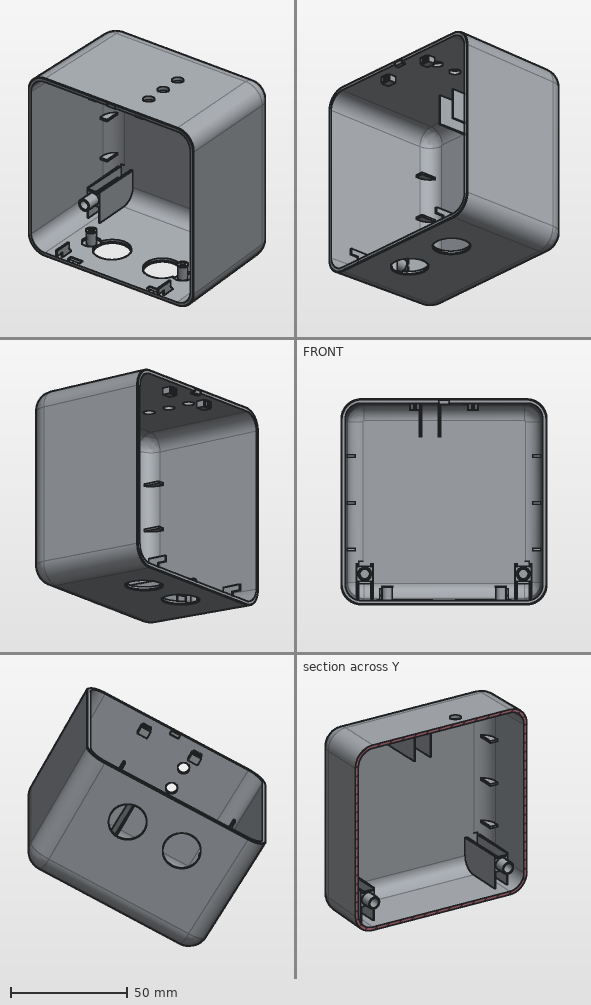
import cadquery as cq
rim_size = 88.5
depth = 58.85
wall = 1.8
draft_angle = 1.0
corner_radius = 8.85
back_radius = 8.4
rim_chamfer = 0.35

inner_half = rim_size / 2 - wall
inner_back = depth - wall

vent_x = 10.8
vent_ys = (12.9, 23.4, 33.8)
vent_diameter = 5.05

cable_x = 13.4
cable_y = 19.0
cable_diameter = 16.7
cable_lip_diameter = 16.3
pin_x = 24.4
pin_diameter = 4.4
pin_top_z = -36.3
pin_cap_diameter = 4.8
pin_cap_height = 0.4
pin_bore = 2.3
pin_bore_depth = 0.9
recess_diameter = 8.5
recess_depth = 0.7

pocket_x = 21.1
pocket_y = 2.8
pocket_length = 6.3
pocket_width = 2.3
pocket_depth = 0.4

hook_x = 27.2
hook_thickness = 0.8
hook_reach = 2.5
hook_top_z = -37.4
hook_arm_height = 2.65
hook_front_y = 1.5
hook_back_y = 6.2
hook_foot_y = 7.9
hook_foot_height = 2.2

plate_front_thickness = 0.5
plate_back_thickness = 1.15

post_x = 34.1
post_z = -31.0
plate_offset = 3.1
plate_top_z = -26.6
plate_front_y = 33.6
tube_front_y = 26.8
tube_diameter = 5.7
tube_bore = 4.25
web_thickness = 1.1
web_height = 6.4
trough_diameter = 6.4
trough_bore = 5.1
coring_half_width = 2.65
coring_z = (-35.3, -25.6)

fin_zs = (19.7, -0.5, -20.5)
fin_tip_x = 38.05
fin_front_y = 48.7
fin_thickness = 1.0

rib_xs = (-10.1, -1.95)
rib_bottom_z = 28.05

catch_x = 12.5
catch_width = 4.7
catch_bottom_z = 39.4
catch_front_y = 4.4
catch_length = 3.5
catch_pad_offset = 1.3
catch_pad_width = 1.15
catch_rib_width = 0.7
catch_pad_length = 0.9
catch_pad_height = 2.65

notch_width = 4.3
notch_top_z = 43.7
notch_depth = 0.4
tab_bottom_z = 41.9
tab_length = 1.8


def box(x_range, y_range, z_range):
    """Box spanning the given coordinate ranges."""
    size = [high - low for low, high in (x_range, y_range, z_range)]
    corner = (x_range[0], y_range[0], z_range[0])
    return cq.Workplane("XY").box(*size, centered=False).translate(corner)


def centred(middle, width):
    """Range of the given width about a middle value."""
    return (middle - width / 2, middle + width / 2)


def cylinder_y(x, z, diameter, y_range):
    """Cylinder along Y."""
    plane = cq.Workplane("XZ", origin=(x, y_range[0], z))
    return plane.circle(diameter / 2).extrude(y_range[0] - y_range[1])


def cylinder_z(x, y, diameter, z_range):
    """Cylinder along Z."""
    plane = cq.Workplane("XY", origin=(x, y, z_range[0]))
    return plane.circle(diameter / 2).extrude(z_range[1] - z_range[0])


def drafted_block(size, length, edge_radius, end_radius):
    """Square block narrowing toward +Y, with rounded long edges and a rounded back."""
    plane = cq.Workplane(cq.Plane((0, 0, 0), (1, 0, 0), (0, 1, 0)))
    block = plane.rect(size, size).extrude(length, taper=draft_angle)
    block = block.edges("not(#Y)").fillet(edge_radius)
    return block.faces(">Y").edges().fillet(end_radius)


outer = drafted_block(rim_size, depth, corner_radius, back_radius)
outer = outer.faces("<Y").chamfer(rim_chamfer)
cavity = drafted_block(2 * inner_half, inner_back, corner_radius - wall, back_radius - wall)


def drafted_plate(x, z_range):
    """Plate square to X, reaching from its thinner front edge to the back wall."""
    back_y = inner_back + wall / 2
    front_half = plate_front_thickness / 2
    back_half = plate_back_thickness / 2
    outline = [
        (x - front_half, plate_front_y),
        (x + front_half, plate_front_y),
        (x + back_half, back_y),
        (x - back_half, back_y),
    ]
    plane = cq.Workplane("XY", origin=(0, 0, z_range[0]))
    return plane.polyline(outline).close().extrude(z_range[1] - z_range[0])


def screw_post(side):
    """Two plates standing on the floor, with a web, a tube and a trough between them."""
    x = side * post_x
    web_x = centred(x, 2 * plate_offset)
    web_back_y = plate_front_y + web_thickness
    trough_y = (web_back_y, inner_back)
    trough = cylinder_y(x, post_z, trough_diameter, trough_y)
    trough = trough.cut(cylinder_y(x, post_z, trough_bore, trough_y))
    trough = trough.cut(box(web_x, trough_y, (post_z, post_z + trough_diameter)))

    post = box(web_x, (plate_front_y, web_back_y), centred(post_z, web_height))
    post = post.union(cylinder_y(x, post_z, tube_diameter, (tube_front_y, web_back_y)))
    post = post.cut(cylinder_y(x, post_z, tube_bore, (tube_front_y, web_back_y)))
    post = post.union(trough)
    for offset in (-plate_offset, plate_offset):
        post = post.union(drafted_plate(x + offset, (-inner_half, plate_top_z)))
    return post


def hook(side):
    """Flat hook standing on the floor, its arm passing out of the opening."""
    arm_bottom_z = hook_top_z - hook_arm_height
    floor_z = -inner_half
    profile = [
        (-hook_reach, hook_top_z),
        (hook_back_y, hook_top_z),
        (hook_back_y, floor_z + hook_foot_height),
        (hook_foot_y, floor_z),
        (hook_front_y, floor_z),
        (hook_front_y, arm_bottom_z),
        (-hook_reach, arm_bottom_z),
    ]
    plane = cq.Workplane("YZ", origin=(side * hook_x, 0, 0))
    return plane.polyline(profile).close().extrude(hook_thickness / 2, both=True)


def pin(side):
    """Capped pin with a short bore in its top."""
    x = side * pin_x
    bottom = -inner_half - recess_depth
    post = cylinder_z(x, cable_y, pin_diameter, (bottom, pin_top_z))
    cap_z = (pin_top_z - pin_cap_height, pin_top_z)
    post = post.union(cylinder_z(x, cable_y, pin_cap_diameter, cap_z))
    return post.cut(cylinder_z(x, cable_y, pin_bore, (pin_top_z - pin_bore_depth, pin_top_z)))


def catch(side):
    """Block under the top wall with two pads and a thin rib on its front."""
    x = side * catch_x
    top_z = inner_half
    block_y = (catch_front_y, catch_front_y + catch_length)
    block = box(centred(x, catch_width), block_y, (catch_bottom_z, top_z))
    pad_z = centred((catch_bottom_z + top_z) / 2, catch_pad_height)
    pad_y = (catch_front_y - catch_pad_length, catch_front_y)
    for offset in (-catch_pad_offset, catch_pad_offset):
        block = block.union(box(centred(x + offset, catch_pad_width), pad_y, pad_z))
    block = block.union(box(centred(x, catch_rib_width), pad_y, pad_z))
    return block


def fins(side):
    group = cq.Workplane("XY")
    x_range = sorted((side * fin_tip_x, side * inner_half))
    for z in fin_zs:
        group = group.union(box(x_range, (fin_front_y, inner_back), centred(z, fin_thickness)))
    return group


body = outer.cut(cavity)

for vent_y in vent_ys:
    body = body.cut(cylinder_z(vent_x, vent_y, vent_diameter, (0, rim_size)))
for side in (-1, 1):
    floor_z = -inner_half
    recess_z = (floor_z - recess_depth, 0)
    body = body.cut(cylinder_z(side * cable_x, cable_y, cable_diameter, recess_z))
    body = body.cut(cylinder_z(side * cable_x, cable_y, cable_lip_diameter, (-rim_size, 0)))
    body = body.cut(cylinder_z(side * pin_x, cable_y, recess_diameter, recess_z))
    pocket_xy = (centred(side * pocket_x, pocket_length), centred(pocket_y, pocket_width))
    body = body.cut(box(*pocket_xy, (floor_z - pocket_depth, 0)))
    coring_x = centred(side * post_x, 2 * coring_half_width)
    body = body.cut(box(coring_x, (plate_front_y, inner_back), coring_z))
body = body.cut(box(centred(0, notch_width), (0, notch_depth), (0, notch_top_z)))

features = [drafted_plate(rib_x, (rib_bottom_z, inner_half)) for rib_x in rib_xs]
tab_y = (notch_depth, notch_depth + tab_length)
features.append(box(centred(0, notch_width), tab_y, (tab_bottom_z, inner_half)))
for side in (-1, 1):
    features += [screw_post(side), pin(side), catch(side), fins(side)]
for feature in features:
    body = body.union(feature.intersect(outer))
for side in (-1, 1):
    body = body.union(hook(side))

result = body